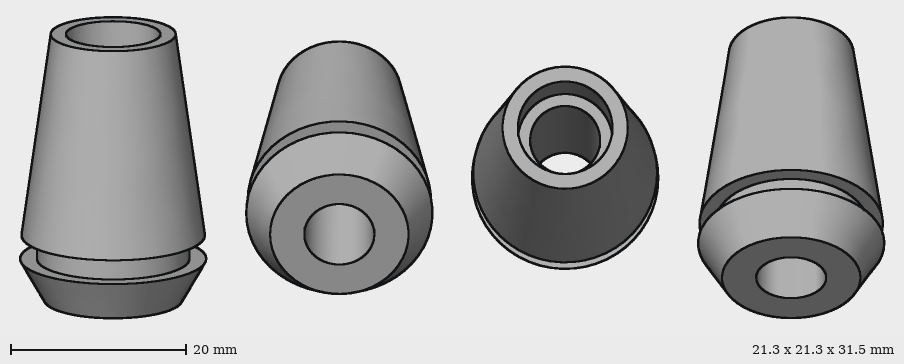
import cadquery as cq

length = 31.5
flange_diameter = 21.3

nose_diameter = 15.8
groove_diameter = 17.45
cone_base_diameter = 20.98
cone_tip_diameter = 14.3

flange_top = 4.85
groove_top = 7.62

bore_diameter = 8.0
counterbore_diameter = 10.8
counterbore_depth = 6.65


def collet_body():
    """Revolve the flange, groove and long cone about the Z axis."""
    profile = [
        (0, 0),
        (nose_diameter / 2, 0),
        (flange_diameter / 2, flange_top),
        (groove_diameter / 2, flange_top),
        (groove_diameter / 2, groove_top),
        (cone_base_diameter / 2, groove_top),
        (cone_tip_diameter / 2, length),
        (0, length),
    ]
    return cq.Workplane("YZ").polyline(profile).close().revolve(360, (0, 0), (0, 1))


def stepped_bore(body):
    """Cut the through bore, widened from the top face."""
    return body.faces(">Z").workplane().cboreHole(
        bore_diameter, counterbore_diameter, counterbore_depth
    )


result = stepped_bore(collet_body())